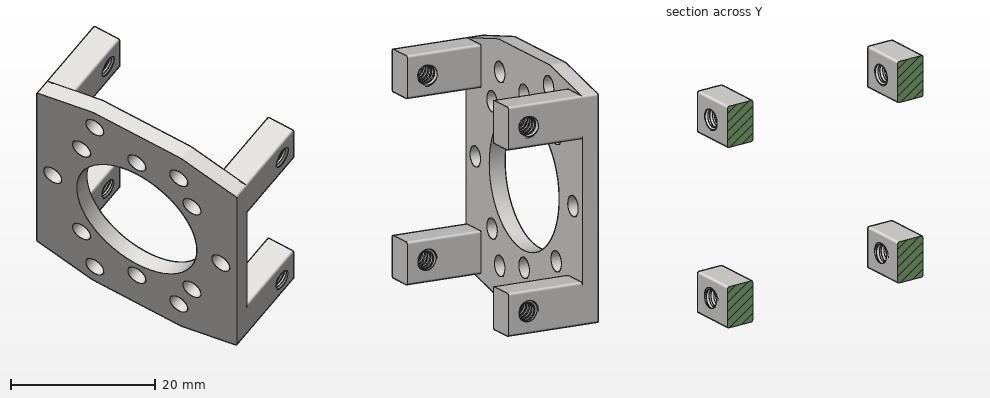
import cadquery as cq
import math

plate_width = 33.4
plate_height = 37.36
plate_thickness = 2.54
flat_half_width = 7.36
slope_angle = 13.3
slope_round = 3.0
corner_round = 0.35

bore_diameter = 20.0
screw_hole_diameter = 3.0
upright_hole_z = 12.5
side_hole_x = 14.0
diagonal_hole_radius = 13.0
outer_hole_x = 7.0
left_outer_hole_z = 15.5
right_outer_hole_z = 14.0

overall_depth = 14.22
arm_width = 4.4
arm_height = 6.2

thread_center_y = 11.18
thread_minor_diameter = 2.7
thread_major_diameter = 3.5
thread_pitch = 25.4 / 32
thread_flank_angle = 30.0
thread_overrun = thread_pitch
upper_thread_start_angle = -70.0
lower_thread_start_angle = -165.0
core_overlap = 0.1

half_width = plate_width / 2
half_height = plate_height / 2
slope_run = half_width - flat_half_width
corner_z = half_height - slope_run * math.tan(math.radians(slope_angle))
diagonal_offset = diagonal_hole_radius * math.cos(math.radians(45))

corner_arc_center_z = corner_z - corner_round * math.tan(math.radians(45 - slope_angle / 2))
arm_center_z = corner_arc_center_z + corner_round - arm_height / 2
arm_center_x = half_width - arm_width / 2
thread_length = arm_width + 2 * thread_overrun


def front_sketch():
    """Workplane on the front face; local Y is Z and extrusion by a negative length goes to +Y."""
    return cq.Workplane("XZ")


def make_plate():
    outline = [
        (-half_width, -corner_z),
        (-flat_half_width, -half_height),
        (flat_half_width, -half_height),
        (half_width, -corner_z),
        (half_width, corner_z),
        (flat_half_width, half_height),
        (-flat_half_width, half_height),
        (-half_width, corner_z),
    ]
    plate = front_sketch().polyline(outline).close().extrude(-plate_thickness)
    middle = half_width - slope_run / 2
    upright_edges = plate.edges("|Y")
    slope_edges = upright_edges.filter(lambda edge: abs(edge.Center().x) < middle)
    plate = plate.newObject(slope_edges.vals()).fillet(slope_round)
    corner_edges = plate.edges("|Y").filter(lambda edge: abs(edge.Center().x) > middle)
    return plate.newObject(corner_edges.vals()).fillet(corner_round)


def make_plate_holes():
    centers = [
        (-side_hole_x, 0),
        (side_hole_x, 0),
    ]
    for side in (-1, 1):
        centers.append((0, side * upright_hole_z))
        centers.append((-outer_hole_x, side * left_outer_hole_z))
        centers.append((outer_hole_x, side * right_outer_hole_z))
        centers.append((-diagonal_offset, side * diagonal_offset))
        centers.append((diagonal_offset, side * diagonal_offset))
    screw_holes = front_sketch().pushPoints(centers).circle(screw_hole_diameter / 2).extrude(-plate_thickness)
    bore = front_sketch().circle(bore_diameter / 2).extrude(-plate_thickness)
    return bore.union(screw_holes)


def make_arm(x_side, z_side):
    """Bar with rounded long edges, standing on the back face of the plate."""
    return (
        front_sketch()
        .workplane(offset=-plate_thickness)
        .center(x_side * arm_center_x, z_side * arm_center_z)
        .rect(arm_width, arm_height)
        .extrude(plate_thickness - overall_depth)
        .edges("|Y")
        .fillet(corner_round)
    )


def make_thread_groove():
    """Helical V groove around the Z axis, long enough to pass right through an arm."""
    inner_radius = thread_minor_diameter / 2 - core_overlap
    major_radius = thread_major_diameter / 2
    half_opening = (major_radius - inner_radius) * math.tan(math.radians(thread_flank_angle))
    helix = cq.Wire.makeHelix(thread_pitch, thread_length, inner_radius)
    return (
        cq.Workplane("XZ")
        .polyline([(inner_radius, -half_opening), (major_radius, 0), (inner_radius, half_opening)])
        .close()
        .sweep(cq.Workplane(helix), isFrenet=True)
    )


def make_thread_core():
    """Minor bore of the thread along the Z axis."""
    return cq.Workplane("XY").circle(thread_minor_diameter / 2).extrude(thread_length)


def cut_thread(body, x_side, z_side):
    """Thread the cross hole of one arm; the groove is cut first, then the minor bore."""
    start_angle = upper_thread_start_angle if z_side > 0 else lower_thread_start_angle
    start_x = x_side * arm_center_x - thread_length / 2
    for cutter in (make_thread_groove(), make_thread_core()):
        turned = cutter.rotate((0, 0, 0), (0, 0, 1), start_angle)
        along_x = turned.rotate((0, 0, 0), (0, 1, 0), 90)
        placed = along_x.translate((start_x, thread_center_y, z_side * arm_center_z))
        body = body.cut(placed, clean=False)
    return body


arm_sides = [(x_side, z_side) for x_side in (-1, 1) for z_side in (-1, 1)]

result = make_plate()
for x_side, z_side in arm_sides:
    result = result.union(make_arm(x_side, z_side))
result = result.cut(make_plate_holes())
for x_side, z_side in arm_sides:
    result = cut_thread(result, x_side, z_side)